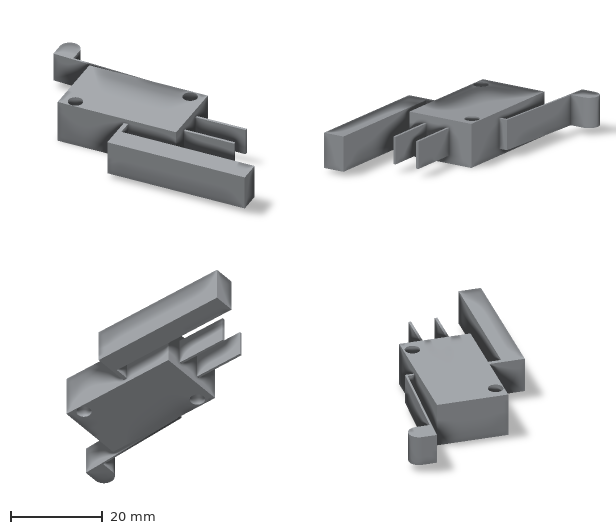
import cadquery as cq

body_length = 28.6
body_width = 16.25
body_height = 10.1

hole_diameter = 3.4
hole_positions = [(3.45, 1.85), (25.25, 14.2)]

overall_length = 59.3
left_end = -10.15
right_end = left_end + overall_length
tip_top = 25.1

lever_height = 6.95
tip_width = 4.75
tip_base_y = 19.3
tip_right = left_end + tip_width
tip_radius = tip_width / 2
tip_shoulder_y = tip_top - tip_radius
lever_thickness = 0.5
stem_left = 17.0
stem_thickness = 0.6
stem_right = stem_left + stem_thickness
bend_y = 17.8
lever_slope = (bend_y - tip_base_y) / (stem_left - left_end)

terminal_length = 12.1
terminal_thickness = 0.6
terminal_height = 6.3
terminal_centers_y = [4.2, 10.2]

bar_left = 16.0
bar_bottom = -8.6
bar_width = 5.1
bar_height = 8.05
web_thickness = 1.0


def centered_extrude(outline, height):
    """Extrude a closed XY outline equally above and below Z = 0."""
    return outline.extrude(height / 2, both=True)


def box_between(x_min, x_max, y_min, y_max, height):
    """Box with the given XY extents, centred on Z = 0."""
    outline = cq.Workplane("XY").moveTo((x_min + x_max) / 2, (y_min + y_max) / 2)
    return centered_extrude(outline.rect(x_max - x_min, y_max - y_min), height)


def lever_top_y(x):
    """Height in Y of the sloping outer face of the lever."""
    return tip_base_y + lever_thickness + lever_slope * (x - left_end)


def make_body():
    body = box_between(0, body_length, 0, body_width, body_height)
    holes = cq.Workplane("XY").pushPoints(hole_positions).circle(hole_diameter / 2)
    return body.cut(centered_extrude(holes, body_height))


def make_lever():
    outline = (
        cq.Workplane("XY")
        .moveTo(left_end, tip_base_y)
        .lineTo(stem_left, bend_y)
        .lineTo(stem_left, body_width)
        .lineTo(stem_right, body_width)
        .lineTo(stem_right, lever_top_y(stem_right))
        .lineTo(tip_right, lever_top_y(tip_right))
        .lineTo(tip_right, tip_shoulder_y)
        .threePointArc((left_end + tip_radius, tip_top), (left_end, tip_shoulder_y))
        .close()
    )
    return centered_extrude(outline, lever_height)


def make_terminal(center_y):
    half = terminal_thickness / 2
    tip_x = body_length + terminal_length
    return box_between(body_length, tip_x, center_y - half, center_y + half, terminal_height)


def make_side_bar():
    bar = box_between(bar_left, right_end, bar_bottom, bar_bottom + bar_width, bar_height)
    web = box_between(bar_left, bar_left + web_thickness, bar_bottom, 0, bar_height)
    return bar.union(web)


result = make_body().union(make_lever()).union(make_side_bar())
for terminal_y in terminal_centers_y:
    result = result.union(make_terminal(terminal_y))